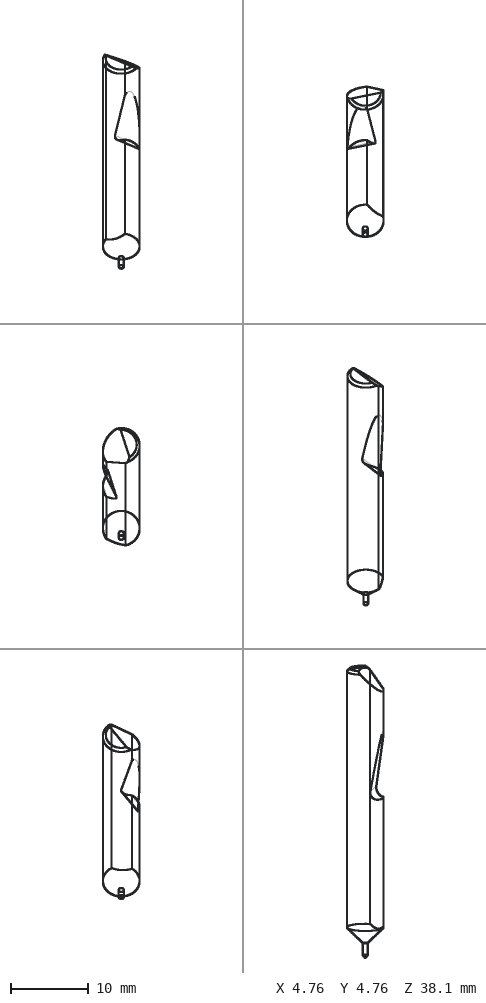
import cadquery as cq
import math

length = 38.1
shank_radius = 2.38

pin_radius = 0.325
pin_shoulder_z = 0.4
cone_bottom_z = 2.0
cone_top_z = cone_bottom_z + shank_radius - pin_radius
top_chamfer = 0.4

flat_distance = 2.0
flat_angle = 143.0

slant_bottom_z = 35.2

notch_bottom_z = 21.15
notch_top_z = 30.1
notch_slope = 9.2
notch_corner_radius = 1.05

cut_margin = 1.15


def make_body():
    """Turned shank with a cone and a pointed pin."""
    return (
        cq.Workplane("XZ")
        .moveTo(0, 0)
        .lineTo(pin_radius, pin_shoulder_z)
        .lineTo(pin_radius, cone_bottom_z)
        .lineTo(shank_radius, cone_top_z)
        .lineTo(shank_radius, length - top_chamfer)
        .lineTo(shank_radius - top_chamfer, length)
        .lineTo(0, length)
        .close()
        .revolve(360, (0, 0, 0), (0, 1, 0))
    )


def make_flat_cutter():
    """Block whose inner face is the side flat."""
    return (
        cq.Workplane("XY")
        .box(shank_radius, 2 * shank_radius, length, centered=(False, True, False))
        .translate((flat_distance, 0, 0))
        .rotate((0, 0, 0), (0, 0, 1), flat_angle)
    )


def make_side_cutter(points):
    """Extrude a (Y, Z) outline across the full width of the shank."""
    return cq.Workplane("YZ").polyline(points).close().extrude(shank_radius + cut_margin, both=True)


def make_slant_cutter():
    outer_y = shank_radius + cut_margin
    upper_z = length + cut_margin
    return make_side_cutter([
        (outer_y, slant_bottom_z - cut_margin),
        (outer_y, upper_z),
        (shank_radius - (upper_z - slant_bottom_z), upper_z),
    ])


def make_notch_cutter():
    floor_tangent = math.tan(math.radians(notch_slope))
    corner_y = shank_radius - (notch_top_z - notch_bottom_z) * floor_tangent
    outer_y = shank_radius + cut_margin
    cutter = make_side_cutter([
        (corner_y, notch_bottom_z),
        (outer_y, notch_bottom_z),
        (outer_y, notch_top_z + cut_margin / floor_tangent),
    ])
    return cutter.edges("|X").edges("<Y").fillet(notch_corner_radius)


result = (
    make_body()
    .cut(make_flat_cutter())
    .cut(make_slant_cutter())
    .cut(make_notch_cutter())
)